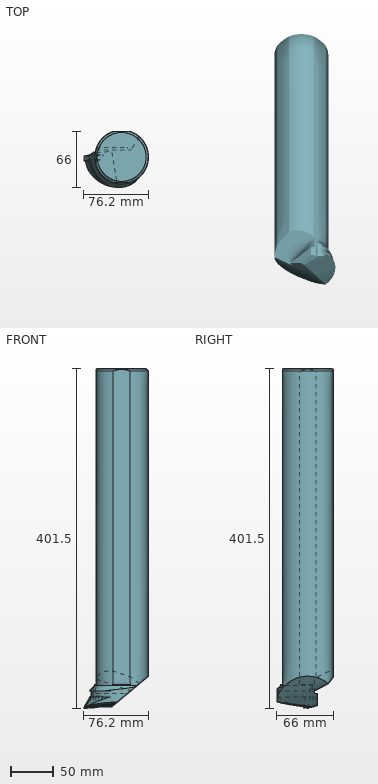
import cadquery as cq
import math

TOTAL_HEIGHT = 401.5
SHANK_RADIUS = 31.7
FLAT_DISTANCE = 30.0
FLAT_BOTTOM = 28.0
TOP_CHAMFER = 3.0

COLLAR_TOP = 30.0
COLLAR_RADIUS = 32.0
FLARE_TOP = 27.0
HEAD_APEX = (-3.2, -36.0)
HEAD_LEFT_RADIUS = 42.0
HEAD_RIGHT_RADIUS = 30.0
FLARE_HEIGHT = 20.0

RELIEF_AXIS_X = 2.0
RELIEF_RADIUS = 38.0
RELIEF_TOP = 21.0
RELIEF_BOTTOM = 13.5
SKIRT_SLOPE = 0.6

FRONT_SLOPE_POINT = (-11.5, 0, 2.0)
FRONT_SLOPE_RISE = 0.833
BOTTOM_POINT = (-44.5, 0, 1.2)
BOTTOM_RISE_X = 0.05
BOTTOM_RISE_Y = -0.13
CLAMP_BEVEL_POINT = (0, 1.0, 0)
CLAMP_BEVEL_RISE = 0.33
CHIP_ROOF_POINT = (-10.0, FLAT_DISTANCE, 44.0)
CHIP_ROOF_RISE_X = -0.34
CHIP_ROOF_RISE_Y = 0.74

RAMP_START = (-38.0, 1.2)
RAMP_RISE = 0.95
POCKET_FLOOR_Y = 8.0
CLAMP_FACE_Y = 11.2
CLAMP_TOP = 17.5

INSERT_EDGE = 15.5
INSERT_ANGLE = 55.0
INSERT_LEAD = 4.0
INSERT_TILT = 8.0
INSERT_THICKNESS = 5.5
INSERT_FACE_Y = 1.0
NOSE_RADIUS = 1.0
TIP_X = -44.5

REACH = 160.5


def below_plane(point, rise_x, rise_y):
    """Solid half space below the plane with the given slopes."""
    normal = cq.Vector(rise_x, rise_y, -1)
    plane = cq.Plane(origin=point, xDir=(1, 0, rise_x), normal=normal)
    return cq.Workplane(plane).circle(REACH).extrude(REACH)


def make_shank():
    return (
        cq.Workplane("XY").circle(SHANK_RADIUS).extrude(TOTAL_HEIGHT)
        .faces(">Z").chamfer(TOP_CHAMFER)
    )


def cut_flats(body):
    for angle in (90, 180, 270):
        flat = (
            cq.Workplane("XY").workplane(offset=FLAT_BOTTOM)
            .center(FLAT_DISTANCE + SHANK_RADIUS / 2, 0)
            .rect(SHANK_RADIUS, 2 * SHANK_RADIUS).extrude(TOTAL_HEIGHT)
            .rotate((0, 0, 0), (0, 0, 1), angle)
        )
        body = body.cut(flat)
    return body


def make_head():
    apex_x, apex_y = HEAD_APEX
    left_y = apex_y + HEAD_LEFT_RADIUS
    right_y = apex_y + HEAD_RIGHT_RADIUS
    diagonal = math.sqrt(0.5)
    outline = (
        cq.Workplane("XY")
        .moveTo(apex_x - HEAD_LEFT_RADIUS, left_y)
        .threePointArc(
            (apex_x - HEAD_LEFT_RADIUS * diagonal, left_y - HEAD_LEFT_RADIUS * diagonal), HEAD_APEX)
        .threePointArc(
            (apex_x + HEAD_RIGHT_RADIUS * diagonal, right_y - HEAD_RIGHT_RADIUS * diagonal),
            (apex_x + HEAD_RIGHT_RADIUS, right_y))
        .lineTo(apex_x + HEAD_RIGHT_RADIUS, left_y)
        .close().extrude(COLLAR_TOP)
    )
    flare_base = FLARE_TOP - FLARE_HEIGHT
    flare_radius = COLLAR_RADIUS + FLARE_HEIGHT
    envelope = (
        cq.Workplane("XZ")
        .polyline([(0, 0), (flare_radius, 0), (flare_radius, flare_base),
                   (COLLAR_RADIUS, FLARE_TOP), (SHANK_RADIUS, COLLAR_TOP), (0, COLLAR_TOP)])
        .close().revolve()
    )
    return outline.intersect(envelope).cut(make_relief())


def make_relief():
    skirt_radius = RELIEF_RADIUS + SKIRT_SLOPE * RELIEF_BOTTOM
    return (
        cq.Workplane("XZ")
        .polyline([(RELIEF_RADIUS, RELIEF_TOP), (REACH, RELIEF_TOP), (REACH, 0),
                   (skirt_radius, 0), (RELIEF_RADIUS, RELIEF_BOTTOM)])
        .close().revolve()
        .translate((RELIEF_AXIS_X, 0, 0))
    )


def pocket_layer(floor_y, bottom, top):
    """Space on the +Y side of the ramp and of the floor, in one height band."""
    start_x, start_y = RAMP_START
    ramp_end_x = start_x + (floor_y - start_y) / RAMP_RISE
    return (
        cq.Workplane("XY").workplane(offset=bottom)
        .polyline([(-REACH, start_y), RAMP_START, (ramp_end_x, floor_y),
                   (REACH, floor_y), (REACH, REACH), (-REACH, REACH)])
        .close().extrude(top - bottom)
    )


def make_chip_pocket():
    layers = pocket_layer(CLAMP_FACE_Y, 0, CLAMP_TOP).union(
        pocket_layer(POCKET_FLOOR_Y, CLAMP_TOP, CHIP_ROOF_POINT[2] + SHANK_RADIUS))
    below_roof = below_plane(CHIP_ROOF_POINT, CHIP_ROOF_RISE_X, CHIP_ROOF_RISE_Y)
    return layers.intersect(below_roof)


def make_insert():
    """Tilted rhombic plate with its rake face towards +Y."""
    half_angle = math.radians(INSERT_ANGLE / 2)
    lower = math.radians(INSERT_LEAD)
    upper = lower + 2 * half_angle
    nose_distance = NOSE_RADIUS / math.sin(half_angle)
    tip_x = TIP_X + NOSE_RADIUS - nose_distance * math.cos(lower + half_angle)
    tip_z = NOSE_RADIUS - nose_distance * math.sin(lower + half_angle)
    lower_step = (INSERT_EDGE * math.cos(lower), INSERT_EDGE * math.sin(lower))
    upper_step = (INSERT_EDGE * math.cos(upper), INSERT_EDGE * math.sin(upper))
    corners = [
        (tip_x, tip_z),
        (tip_x + lower_step[0], tip_z + lower_step[1]),
        (tip_x + lower_step[0] + upper_step[0], tip_z + lower_step[1] + upper_step[1]),
        (tip_x + upper_step[0], tip_z + upper_step[1]),
    ]
    return (
        cq.Workplane("XZ", origin=(0, -INSERT_THICKNESS, 0))
        .polyline(corners).close().extrude(-INSERT_THICKNESS)
        .edges("|Y").fillet(NOSE_RADIUS)
        .rotate((0, 0, 0), (1, 0, 0), -INSERT_TILT)
        .translate((0, INSERT_FACE_Y, 0))
    )


def make_holder():
    holder = cut_flats(make_shank().union(make_head()))
    holder = holder.cut(below_plane(FRONT_SLOPE_POINT, FRONT_SLOPE_RISE, 0))
    holder = holder.cut(below_plane(BOTTOM_POINT, BOTTOM_RISE_X, BOTTOM_RISE_Y))
    holder = holder.cut(below_plane(CLAMP_BEVEL_POINT, 0, CLAMP_BEVEL_RISE))
    holder = holder.cut(make_chip_pocket())
    return holder.cut(make_insert())


holder = make_holder()
insert = make_insert()
result = cq.Compound.makeCompound([*holder.vals(), *insert.vals()])